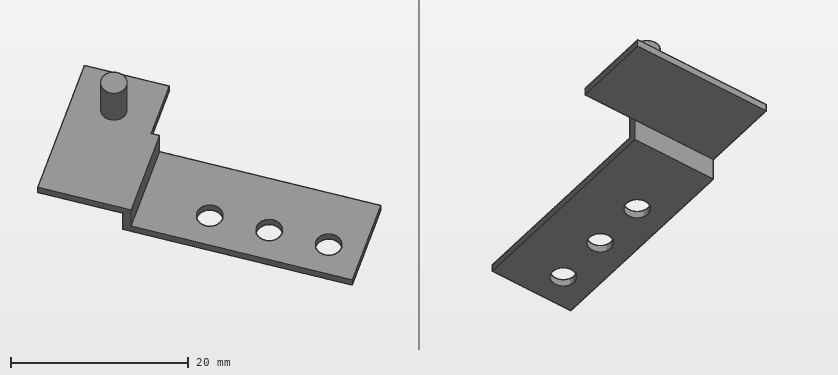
import cadquery as cq

length = 37.0
depth = 18.0
strip_depth = 11.0
sheet = 1.0
plate_width = 10.0
step_height = 4.0
pin_height = 5.0
round_diameter = 3.0
pin_edge_distance = plate_width / 2
hole_count = 3
hole_pitch = 7.0
hole_front_distance = 4.0
last_hole_end_distance = 4.0


def stepped_strip():
    """Z-bent strip: raised flange, vertical riser and long low flange."""
    riser_outer_x = plate_width + sheet
    profile = [
        (0, step_height),
        (riser_outer_x, step_height),
        (riser_outer_x, sheet),
        (length, sheet),
        (length, 0),
        (plate_width, 0),
        (plate_width, step_height - sheet),
        (0, step_height - sheet),
    ]
    return cq.Workplane("XZ").polyline(profile).close().extrude(-strip_depth)


def raised_plate():
    """Raised plate, reaching behind the strip."""
    plate = cq.Workplane("XY").box(plate_width, depth, sheet, centered=False)
    return plate.translate((0, 0, step_height - sheet))


def pin():
    """Upright pin, equally far from three edges of the raised plate."""
    return (
        cq.Workplane("XY", origin=(0, 0, step_height))
        .center(pin_edge_distance, depth - pin_edge_distance)
        .circle(round_diameter / 2)
        .extrude(pin_height)
    )


def strip_holes():
    """Row of through holes along the low flange."""
    last_hole_x = length - last_hole_end_distance
    centers = [(last_hole_x - i * hole_pitch, hole_front_distance) for i in range(hole_count)]
    return cq.Workplane("XY").pushPoints(centers).circle(round_diameter / 2).extrude(sheet)


result = stepped_strip().union(raised_plate()).union(pin()).cut(strip_holes())